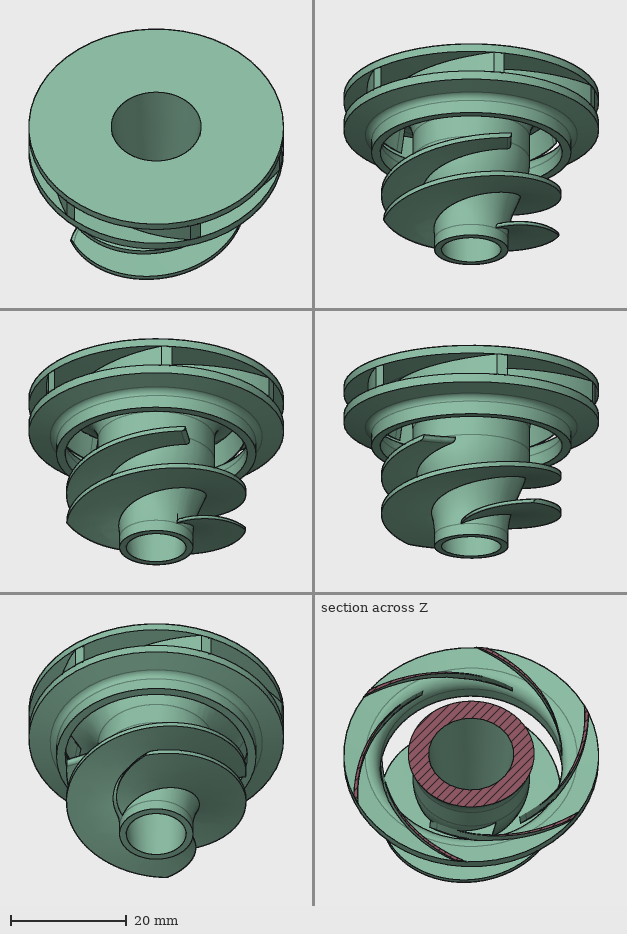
import cadquery as cq
import math


total_height = 29.22
rim_radius = 22.04
disc_thickness = 1.43
channel_height = 3.7
shroud_rim_thickness = 1.55

disc_rim_z = total_height - disc_thickness
shroud_top_z = disc_rim_z - channel_height
shroud_rim_bottom_z = shroud_top_z - shroud_rim_thickness

collar_radius = 17.25
collar_bottom_z = 18.35
shroud_wall = 1.5
eye_radius = collar_radius - shroud_wall
shroud_dip = 0.8
bend_radius = 1.1

hub_base_radius = 6.35
hub_base_height = 2.0
hub_top_radius = 10.1
hub_cone_top_z = 17.0
flare_radius = 6.0
flare_dip = 0.5
bore_bottom_radius = 5.17
bore_top_radius = 7.77

vane_count = 6
vane_tip_angle = -90.0
vane_tip_width = 1.82
vane_wrap = 80.0
vane_inward_rate = 0.43
vane_easing_bottom = 0.135
vane_easing_top = 0.10
vane_bottom_z = shroud_top_z - shroud_dip - 0.4 * shroud_wall
vane_top_z = disc_rim_z + 0.5 * disc_thickness

blade_count = 2
blade_radius = 15.53
blade_thickness = 0.85
blade_pitch = 12.55
blade_end_lift = 1.2
blade_lift_start = 0.5
blade_start_z = 2.5
blade_curve_steps = 24
blade_nose_radius = 0.8
blade_root_radius = 5.6
trim_margin = 1.0
blade_start_angle = 180.0
lead_sweep = 60.0
trail_sweep = 16.0


def polar(radius, degrees):
    angle = math.radians(degrees)
    return (radius * math.cos(angle), radius * math.sin(angle))


def make_hub_and_disc():
    flare_end = (hub_top_radius + flare_radius, disc_rim_z - flare_dip)
    flare_start_z = flare_end[1] - flare_radius
    return (
        cq.Workplane("XZ")
        .lineTo(hub_base_radius, 0)
        .lineTo(hub_base_radius, hub_base_height)
        .spline([(hub_top_radius, hub_cone_top_z)], tangents=[(0, 1), (0, 1)], includeCurrent=True)
        .lineTo(hub_top_radius, flare_start_z)
        .tangentArcPoint(flare_end, relative=False)
        .lineTo(rim_radius, disc_rim_z)
        .lineTo(rim_radius, total_height)
        .lineTo(0, total_height)
        .close()
        .revolve(360, (0, 0, 0), (0, 1, 0))
    )


def make_shroud():
    outer_bend_z = shroud_rim_bottom_z - shroud_dip
    inner_bend_z = shroud_top_z - shroud_dip
    inner_bend_radius = bend_radius + shroud_wall
    return (
        cq.Workplane("XZ")
        .moveTo(rim_radius, shroud_top_z)
        .lineTo(rim_radius, shroud_rim_bottom_z)
        .lineTo(collar_radius + bend_radius, outer_bend_z)
        .tangentArcPoint((collar_radius, outer_bend_z - bend_radius), relative=False)
        .lineTo(collar_radius, collar_bottom_z)
        .lineTo(eye_radius, collar_bottom_z)
        .lineTo(eye_radius, inner_bend_z - inner_bend_radius)
        .tangentArcPoint((eye_radius + inner_bend_radius, inner_bend_z), relative=False)
        .close()
        .revolve(360, (0, 0, 0), (0, 1, 0))
    )


def vane_outline(plane, easing):
    """Two equal spirals, set apart by the tip width and winding clockwise towards the eye."""
    half_width = math.degrees(0.5 * vane_tip_width / rim_radius)

    def side(offset, steps):
        points = []
        for step in steps:
            wrap = math.radians(vane_wrap * step)
            radius = rim_radius * math.exp(-(vane_inward_rate - easing * wrap) * wrap)
            points.append(polar(radius, vane_tip_angle + offset - vane_wrap * step))
        return points

    inward = [0, 0.25, 0.5, 0.75, 1]
    outer_side = side(-half_width, inward)
    inner_side = side(half_width, inward[::-1])
    return (
        plane.moveTo(*outer_side[0])
        .spline(outer_side[1:], includeCurrent=True)
        .lineTo(*inner_side[0])
        .spline(inner_side[1:], includeCurrent=True)
        .close()
    )


def make_vane():
    """Backward-curved vane, leaning slightly inwards towards the back disc."""
    base = vane_outline(cq.Workplane("XY").workplane(offset=vane_bottom_z), vane_easing_bottom)
    raised = base.workplane(offset=vane_top_z - vane_bottom_z)
    vane = vane_outline(raised, vane_easing_top).loft(ruled=True)
    rim = cq.Workplane("XY").circle(rim_radius).extrude(total_height)
    return vane.intersect(rim)


def helical_edge(radius):
    """Lower edge of a blade at one radius, over a full turn of gently growing pitch."""
    points = []
    for step in range(blade_curve_steps + 1):
        turn = step / blade_curve_steps
        lift_part = max(0, turn - blade_lift_start) / (1 - blade_lift_start)
        height = blade_pitch * turn + blade_end_lift * lift_part ** 2 - blade_thickness / 2
        points.append(cq.Vector(*polar(radius, 360 * turn), height))
    return cq.Edge.makeSpline(points)


def make_blade():
    """One turn of helical ribbon, trimmed in plan to its swept leading and trailing ends."""
    ribbon_edges = [helical_edge(radius) for radius in (blade_root_radius, blade_radius + trim_margin)]
    ribbon_face = cq.Face.makeRuledSurface(*ribbon_edges)
    ribbon = cq.Workplane(cq.Solid.extrudeLinear(ribbon_face, cq.Vector(0, 0, blade_thickness)))
    growth = [
        polar(hub_base_radius + (blade_radius - hub_base_radius) * step, lead_sweep * step)
        for step in (0, 0.25, 0.5, 0.75, 1)
    ]
    plan = (
        cq.Workplane("XY")
        .workplane(offset=-blade_pitch)
        .lineTo(*growth[0])
        .spline(growth[1:], includeCurrent=True)
        .threePointArc(polar(blade_radius, 180), polar(blade_radius, 360 - trail_sweep))
        .lineTo(hub_top_radius, 0)
        .close()
        .extrude(3 * blade_pitch)
    )
    blade = ribbon.intersect(plan)
    lead_middle = polar(0.5 * (hub_base_radius + blade_radius), lead_sweep / 2)
    trail_middle = polar(0.5 * (hub_top_radius + blade_radius), -trail_sweep / 2)
    lead_top = cq.selectors.NearestToPointSelector((*lead_middle, blade_pitch / 4))
    trail_bottom = cq.selectors.NearestToPointSelector((*trail_middle, blade_pitch))
    blade = blade.edges(lead_top).fillet(blade_nose_radius)
    blade = blade.edges(trail_bottom).fillet(blade_nose_radius)
    return blade.translate((0, 0, blade_start_z))


def make_bore():
    return (
        cq.Workplane("XY")
        .circle(bore_bottom_radius)
        .workplane(offset=total_height)
        .circle(bore_top_radius)
        .loft(ruled=True)
    )


body = make_hub_and_disc().union(make_shroud())

vane = make_vane()
for index in range(vane_count):
    body = body.union(vane.rotate((0, 0, 0), (0, 0, 1), index * 360 / vane_count))

blade = make_blade()
for index in range(blade_count):
    angle = blade_start_angle + index * 360 / blade_count
    body = body.union(blade.rotate((0, 0, 0), (0, 0, 1), angle))

result = body.cut(make_bore())